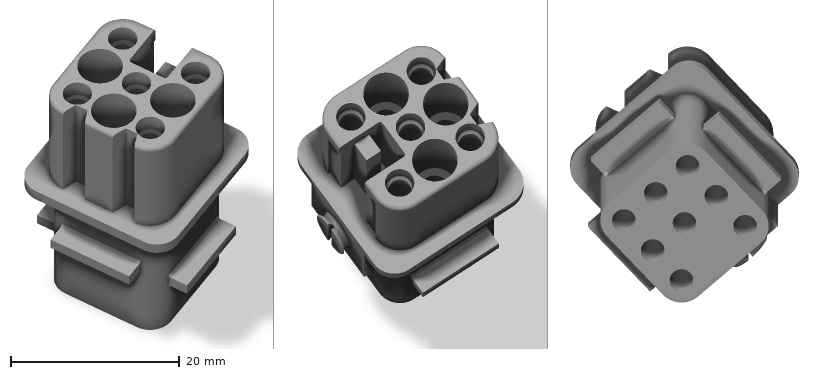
import cadquery as cq


flange_bottom = 18.0
flange_thickness = 1.5
flange_top = flange_bottom + flange_thickness
total_height = 33.4
upper_height = total_height - flange_top

flange_size = 21.0
flange_radius = 3.0
lower_size = 15.9
lower_radius = 2.95
upper_size = 17.0
upper_radius = 3.5
top_edge_radius = 0.5

pitch = 5.1
wide_positions = [(-pitch, 0), (pitch, 0), (0, -pitch)]
corner_positions = [(x, y) for x in (-pitch, pitch) for y in (-pitch, pitch)]
plain_positions = [(0, 0), *corner_positions]
through_diameter = 2.8
entry_diameter = 3.5
entry_depth = 2.25
wide_diameter = 5.42
wide_depth = 10.0
counterbore_floor = total_height - wide_depth
entry_taper = (entry_diameter - through_diameter) / 2

groove_floor_y = -6.7
groove_floor_inner = 2.7
groove_floor_outer = 4.3
groove_mouth_inner = 1.95
groove_mouth_outer = 5.0

slot_width = 5.3
slot_front_y = 2.45
slot_corner_radius = 0.4
step_width = 2.5
step_length = 2.1
step_front_y = 4.15
step_top = 31.3
rebate_depth = 0.3
rebate_outer_x = upper_size / 2 - upper_radius

bar_length = 11.0
bar_height = 1.5
bar_root_chamfer = 0.3
bar_embed = 1.0
side_bar_bottom = 7.0
front_bar_bottom = 10.5

screw_block_width = 11.0
screw_block_bottom = 10.5
screw_z = 14.5
shank_diameter = 3.0
shank_length = 2.5
collar_base_radius = 2.55
collar_bulge_radius = 2.43
neck_radius = 2.2
collar_height = 0.54
head_radius = 2.78
head_flare_height = 1.05
head_face_radius = 2.65
head_height = 1.2
driver_slot_width = 0.7
driver_slot_depth = 0.6


def rounded_square(size, corner_radius, bottom, height):
    block = cq.Workplane("XY").box(size, size, height, centered=(True, True, False))
    return block.edges("|Z").fillet(corner_radius).translate((0, 0, bottom))


def latch_bar(bottom):
    """Bar on the -Y face reaching out to the flange edge, widened by chamfers at its root."""
    root_y = -lower_size / 2
    tip_y = -flange_size / 2
    inside_y = root_y + bar_embed
    top = bottom + bar_height
    profile = [
        (inside_y, bottom - bar_root_chamfer),
        (root_y, bottom - bar_root_chamfer),
        (root_y - bar_root_chamfer, bottom),
        (tip_y, bottom),
        (tip_y, top),
        (root_y - bar_root_chamfer, top),
        (root_y, top + bar_root_chamfer),
        (inside_y, top + bar_root_chamfer),
    ]
    return cq.Workplane("YZ").polyline(profile).close().extrude(bar_length / 2, both=True)


def upper_block():
    block = rounded_square(upper_size, upper_radius, flange_top, upper_height)
    block = block.faces(">Z").edges().fillet(top_edge_radius)
    for side in (-1, 1):
        block = block.cut(dovetail_groove(side))
    return block.cut(back_slot()).cut(back_rebate()).union(slot_step())


def dovetail_groove(side):
    mouth_y = -upper_size / 2
    profile = [
        (side * groove_mouth_inner, mouth_y),
        (side * groove_floor_inner, groove_floor_y),
        (side * groove_floor_outer, groove_floor_y),
        (side * groove_mouth_outer, mouth_y),
    ]
    return cq.Workplane("XY", origin=(0, 0, flange_top)).polyline(profile).close().extrude(upper_height)


def back_slot():
    length = upper_size / 2 - slot_front_y
    slot = cq.Workplane("XY").box(slot_width, length, upper_height, centered=(True, False, False))
    slot = slot.edges("|Z and <Y").fillet(slot_corner_radius)
    return slot.translate((0, slot_front_y, flange_top))


def slot_step():
    """Raised step standing on the slot floor against the +X wall."""
    step = cq.Workplane("XY").box(step_width, step_length, step_top - flange_top, centered=False)
    return step.translate((slot_width / 2 - step_width, step_front_y, flange_top))


def back_rebate():
    """Shallow rebate in the flat back face on both sides of the slot, ending below a lip at the top."""
    height = step_top - flange_top
    rebate = cq.Workplane("XY").box(2 * rebate_outer_x, rebate_depth, height, centered=(True, False, False))
    return rebate.translate((0, upper_size / 2 - rebate_depth, flange_top))


def screw_block():
    depth = flange_size / 2
    height = flange_bottom - screw_block_bottom
    block = cq.Workplane("XY").box(screw_block_width, depth, height, centered=(True, False, False))
    return block.translate((0, 0, screw_block_bottom))


def contact_hole(position, mouth_z):
    """Through hole with a wider entry below mouth_z that tapers down to the through diameter."""
    through_radius = through_diameter / 2
    entry_radius = entry_diameter / 2
    entry_bottom = mouth_z - entry_depth
    half_section = [
        (0, 0),
        (through_radius, 0),
        (through_radius, entry_bottom - entry_taper),
        (entry_radius, entry_bottom),
        (entry_radius, mouth_z),
        (0, mouth_z),
    ]
    hole = cq.Workplane("XZ").polyline(half_section).close().revolve(360, (0, 0), (0, 1))
    return hole.translate((*position, 0))


def wide_counterbores():
    start = cq.Workplane("XY", origin=(0, 0, counterbore_floor))
    return start.pushPoints(wide_positions).circle(wide_diameter / 2).extrude(wide_depth)


def screw_hole():
    face = cq.Workplane("XZ", origin=(0, flange_size / 2, screw_z))
    return face.circle(shank_diameter / 2).extrude(shank_length)


def make_housing():
    body = rounded_square(lower_size, lower_radius, 0, flange_bottom)
    body = body.union(rounded_square(flange_size, flange_radius, flange_bottom, flange_thickness))
    body = body.union(upper_block()).union(screw_block())
    body = body.union(latch_bar(front_bar_bottom))
    side_bar = latch_bar(side_bar_bottom)
    for angle in (-90, 90):
        body = body.union(side_bar.rotate((0, 0, 0), (0, 0, 1), angle))
    body = body.cut(wide_counterbores()).cut(screw_hole())
    for position in plain_positions:
        body = body.cut(contact_hole(position, total_height))
    for position in wide_positions:
        body = body.cut(contact_hole(position, counterbore_floor))
    return body


def make_screw():
    """Screw along Y: shank, domed collar and flared head with a driver slot along Z."""
    shank_radius = shank_diameter / 2
    screw = (
        cq.Workplane("XY")
        .moveTo(0, -shank_length)
        .lineTo(shank_radius, -shank_length)
        .lineTo(shank_radius, 0)
        .lineTo(collar_base_radius, 0)
        .threePointArc((collar_bulge_radius, collar_height / 2), (neck_radius, collar_height))
        .lineTo(head_radius, head_flare_height)
        .lineTo(head_face_radius, head_height)
        .lineTo(0, head_height)
        .close()
        .revolve(360, (0, 0), (0, 1))
    )
    driver_slot = cq.Workplane("XY").box(driver_slot_width, driver_slot_depth, 2 * head_radius)
    driver_slot = driver_slot.translate((0, head_height - driver_slot_depth / 2, 0))
    return screw.cut(driver_slot).translate((0, flange_size / 2, screw_z))


housing = make_housing()
screw = make_screw()
result = cq.Compound.makeCompound([housing.val(), screw.val()])